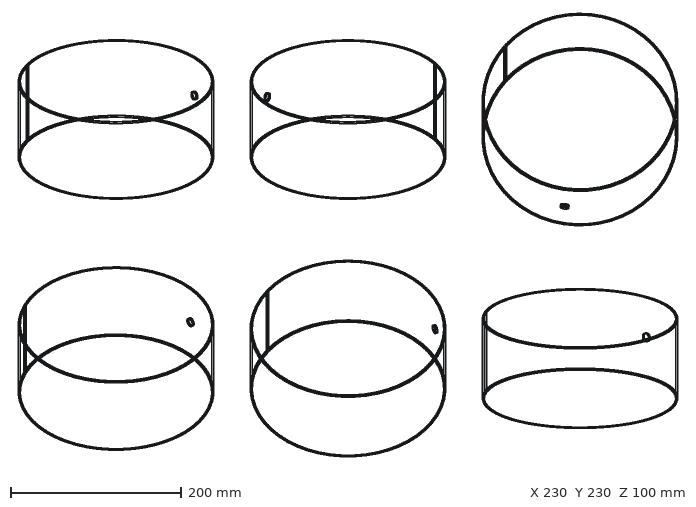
import cadquery as cq
import math

OUTER_RADIUS = 115.0
WALL = 2.5
HEIGHT = 100.0
OUTER_BEVEL_AXIAL = 1.8
OUTER_BEVEL_ANGLE = 20.0
INNER_BEVEL = 0.8
SLIT_START_ANGLE = 179.0
SLIT_ANGLE = 1.0
HOLE_DIAMETER = 10.0
HOLE_HEIGHT = HEIGHT / 2
HOLE_TO_SLIT_ANGLE = 120.0

INNER_RADIUS = OUTER_RADIUS - WALL
OUTER_BEVEL_RADIAL = OUTER_BEVEL_AXIAL * math.tan(math.radians(OUTER_BEVEL_ANGLE))
HOLE_ANGLE = SLIT_START_ANGLE - HOLE_TO_SLIT_ANGLE
CUT_MARGIN = 5.0


def make_split_band():
    """Revolve the wall section, bevelled at all four rims, leaving the slit open."""
    outer_rim = OUTER_RADIUS - OUTER_BEVEL_RADIAL
    inner_rim = INNER_RADIUS + INNER_BEVEL
    section = (
        cq.Workplane("XZ")
        .moveTo(inner_rim, 0)
        .lineTo(outer_rim, 0)
        .lineTo(OUTER_RADIUS, OUTER_BEVEL_AXIAL)
        .lineTo(OUTER_RADIUS, HEIGHT - OUTER_BEVEL_AXIAL)
        .lineTo(outer_rim, HEIGHT)
        .lineTo(inner_rim, HEIGHT)
        .lineTo(INNER_RADIUS, HEIGHT - INNER_BEVEL)
        .lineTo(INNER_RADIUS, INNER_BEVEL)
        .close()
    )
    band = section.revolve(360 - SLIT_ANGLE, (0, 0, 0), (0, -1, 0))
    return band.rotate((0, 0, 0), (0, 0, 1), SLIT_START_ANGLE)


def make_radial_hole():
    """Cylindrical cutter pointing straight out through the wall."""
    angle = math.radians(HOLE_ANGLE)
    outward = cq.Vector(math.cos(angle), math.sin(angle), 0)
    start = outward * (INNER_RADIUS - CUT_MARGIN) + cq.Vector(0, 0, HOLE_HEIGHT)
    return cq.Solid.makeCylinder(HOLE_DIAMETER / 2, WALL + 2 * CUT_MARGIN, start, outward)


result = make_split_band().cut(make_radial_hole())